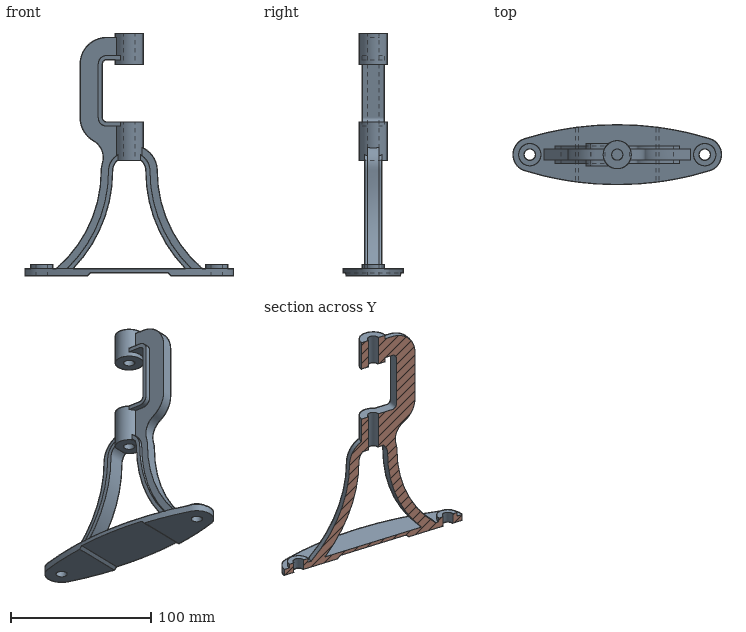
import cadquery as cq
import math

plate_half_length = 74.48
plate_half_width = 21.5
plate_top = 5.2
plate_end_radius = 12.02
mount_x = plate_half_length - plate_end_radius
relief_depth = 2.0
relief_half_length = 29.8

hole_diameter = 8.0
pad_diameter = 16.0
pad_height = 3.0
barrel_diameter = 20.0
total_height = 173.0
upper_barrel_bottom = 150.9
lower_barrel_top = 109.9
lower_barrel_bottom = 82.2

web_width = 8.0
hook_flange_width = 16.0
leg_flange_width = 12.5
flange_thickness = 3.03

hook_center_x = -16.1
hook_inner_radius = 3.03
hook_outer_radius = 19.0
hook_upper_z = 151.2
hook_lower_z = lower_barrel_top + hook_inner_radius

shoulder_x = 1.7
shoulder_z = 74.9
shoulder_inner_radius = 10.0
leg_thickness = 8.3
shoulder_outer_radius = shoulder_inner_radius + leg_thickness
leg_outer_sweep = 91.9
leg_center_x = shoulder_x + shoulder_outer_radius + leg_outer_sweep
foot_z = plate_top - 1.7
neck_radius = 13.8


def polar(center, radius, degrees):
    """Point on a circle in the XZ plane."""
    angle = math.radians(degrees)
    return (center[0] + radius * math.cos(angle), center[1] + radius * math.sin(angle))


def toward(start, end, distance):
    """Point at a distance from start on the way to end."""
    fraction = distance / math.dist(start, end)
    return (start[0] + fraction * (end[0] - start[0]), start[1] + fraction * (end[1] - start[1]))


def thicken(outline, width):
    """Extrude a closed XZ outline symmetrically about the XZ plane."""
    return outline.close().extrude(width / 2, both=True)


def cylinder(x, diameter, bottom, top):
    return cq.Workplane("XY", origin=(x, 0, bottom)).circle(diameter / 2).extrude(top - bottom)


def base_plate():
    rise = plate_half_width - plate_end_radius
    side_radius = (mount_x**2 + plate_half_width**2 - plate_end_radius**2) / (2 * rise)
    side_center_y = plate_half_width - side_radius
    joint_x, joint_y = toward((0, side_center_y), (mount_x, 0), side_radius)
    plate = (
        cq.Workplane("XY")
        .moveTo(-joint_x, joint_y)
        .threePointArc((0, plate_half_width), (joint_x, joint_y))
        .threePointArc((plate_half_length, 0), (joint_x, -joint_y))
        .threePointArc((0, -plate_half_width), (-joint_x, -joint_y))
        .threePointArc((-plate_half_length, 0), (-joint_x, joint_y))
        .close()
        .extrude(plate_top)
    )
    relief_top_half = relief_half_length - relief_depth
    relief = cq.Workplane("XZ").polyline([
        (-relief_half_length, 0),
        (-relief_top_half, relief_depth),
        (relief_top_half, relief_depth),
        (relief_half_length, 0),
    ])
    return plate.cut(thicken(relief, 2 * plate_half_width))


def leg(thickness, width):
    """Right leg band, measured outward from its inner edge."""
    center = (shoulder_x, shoulder_z)
    leg_center = (leg_center_x, shoulder_z)
    drop = shoulder_z - foot_z
    foot_points = []
    mid_points = []
    radii = (shoulder_inner_radius, shoulder_inner_radius + thickness)
    for radius in radii:
        sweep = leg_center_x - shoulder_x - radius
        turn = math.degrees(math.asin(drop / sweep))
        foot_points.append(polar(leg_center, sweep, 180 + turn))
        mid_points.append(polar(leg_center, sweep, 180 + turn / 2))
    inner, outer = radii
    outline = (
        cq.Workplane("XZ")
        .moveTo(*polar(center, inner, 90))
        .threePointArc(polar(center, inner, 45), polar(center, inner, 0))
        .threePointArc(mid_points[0], foot_points[0])
        .lineTo(*foot_points[1])
        .threePointArc(mid_points[1], polar(center, outer, 0))
        .threePointArc(polar(center, outer, 45), polar(center, outer, 90))
    )
    return thicken(outline, width)


def legs():
    right_leg = leg(leg_thickness, web_width).union(leg(flange_thickness, leg_flange_width))
    return right_leg.union(right_leg.rotate((0, 0, 0), (0, 0, 1), 180))


def hook_web():
    """Hook and neck plate before its opening is cut."""
    upper = (hook_center_x, hook_upper_z)
    lower = (hook_center_x, hook_lower_z)
    shoulder = (-shoulder_x, shoulder_z)
    hook_reach = hook_outer_radius + neck_radius
    shoulder_reach = shoulder_outer_radius + neck_radius
    gap = math.dist(lower, shoulder)
    along = (hook_reach**2 - shoulder_reach**2 + gap**2) / (2 * gap)
    aside = math.sqrt(hook_reach**2 - along**2)
    base_x, base_z = toward(lower, shoulder, along)
    neck = (
        base_x - aside * (lower[1] - shoulder[1]) / gap,
        base_z + aside * (lower[0] - shoulder[0]) / gap,
    )
    hook_joint = toward(lower, neck, hook_outer_radius)
    shoulder_joint = toward(shoulder, neck, shoulder_outer_radius)
    joints_middle = ((hook_joint[0] + shoulder_joint[0]) / 2, (hook_joint[1] + shoulder_joint[1]) / 2)
    corner_start = polar(lower, hook_outer_radius, 180)
    corner_middle = ((corner_start[0] + hook_joint[0]) / 2, (corner_start[1] + hook_joint[1]) / 2)
    outer = hook_outer_radius
    outline = (
        cq.Workplane("XZ")
        .moveTo(0, hook_upper_z + outer)
        .lineTo(*polar(upper, outer, 90))
        .threePointArc(polar(upper, outer, 135), polar(upper, outer, 180))
        .lineTo(*corner_start)
        .threePointArc(toward(lower, corner_middle, outer), hook_joint)
        .threePointArc(toward(neck, joints_middle, neck_radius), shoulder_joint)
        .lineTo(0, shoulder_z + shoulder_outer_radius - flange_thickness)
    )
    return thicken(outline, web_width)


def hook_opening(radius, width):
    """Block bounded by the hook's inner edge, offset to the given corner radius."""
    left = hook_center_x - radius
    bottom = hook_lower_z - radius
    height = hook_upper_z + radius - bottom
    block = cq.Workplane("XY").box(-left, width, height, centered=(False, True, False))
    return block.translate((left, 0, bottom)).edges("|Y and <X").fillet(radius)


def hook():
    flange_block = hook_opening(hook_inner_radius + flange_thickness, hook_flange_width)
    opening = hook_opening(hook_inner_radius, hook_flange_width)
    return hook_web().union(flange_block).cut(opening)


pad_top = plate_top + pad_height
result = base_plate().union(legs()).union(hook())
result = result.union(cylinder(0, barrel_diameter, upper_barrel_bottom, total_height))
result = result.union(cylinder(0, barrel_diameter, lower_barrel_bottom, lower_barrel_top))
result = result.cut(cylinder(0, hole_diameter, lower_barrel_bottom, total_height))
for side in (-1, 1):
    result = result.union(cylinder(side * mount_x, pad_diameter, plate_top, pad_top))
    result = result.cut(cylinder(side * mount_x, hole_diameter, 0, pad_top))